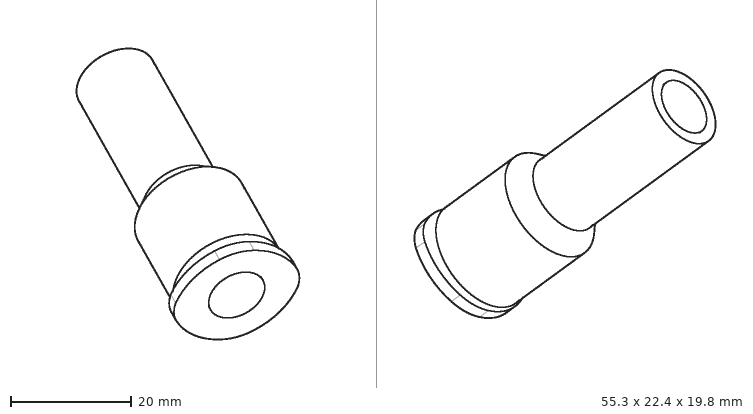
import cadquery as cq
import math

total_length = 55.3
stem_length = 30.15
cone_length = 3.75
flange_thickness = 2.25
collar_gap = 1.65
flange_start = total_length - flange_thickness
body_end = flange_start - collar_gap
cone_end = stem_length + cone_length

stem_radius = 14.05 / 2
body_radius = 19.8 / 2
collar_radius = 13.05 / 2
bore_radius = 10.0 / 2

flange_half_width = 22.45 / 2
crown_radius = 9.75
crown_half_chord = 3.1
ear_radius = 6.2
ear_half_chord = 1.95
flank_radius = 12.6


def make_turned_body():
    """Stem, cone, body and collar, revolved about X."""
    profile = (
        cq.Workplane("XY")
        .lineTo(0, stem_radius)
        .lineTo(stem_length, stem_radius)
        .lineTo(cone_end, body_radius)
        .lineTo(body_end, body_radius)
        .lineTo(body_end, collar_radius)
        .lineTo(flange_start, collar_radius)
        .lineTo(flange_start, 0)
        .close()
    )
    return profile.revolve(360, (0, 0, 0), (1, 0, 0))


def flank_midpoint(ear_end, crown_end):
    """Middle of the outward-bulging flank arc."""
    run = crown_end[0] - ear_end[0]
    rise = crown_end[1] - ear_end[1]
    chord = math.hypot(run, rise)
    bulge = flank_radius - math.sqrt(flank_radius**2 - (chord / 2) ** 2)
    middle_y = (ear_end[0] + crown_end[0]) / 2 + bulge * rise / chord
    middle_z = (ear_end[1] + crown_end[1]) / 2 - bulge * run / chord
    return (middle_y, middle_z)


def make_flange():
    """Lens-shaped plate, symmetric about Y and Z."""
    crown_y = crown_half_chord
    crown_z = math.sqrt(crown_radius**2 - crown_half_chord**2)
    ear_z = ear_half_chord
    ear_drop = ear_radius - math.sqrt(ear_radius**2 - ear_half_chord**2)
    ear_y = flange_half_width - ear_drop
    flank_y, flank_z = flank_midpoint((ear_y, ear_z), (crown_y, crown_z))
    outline = (
        cq.Workplane("YZ", origin=(flange_start, 0, 0))
        .moveTo(ear_y, -ear_z)
        .threePointArc((flange_half_width, 0), (ear_y, ear_z))
        .threePointArc((flank_y, flank_z), (crown_y, crown_z))
        .threePointArc((0, crown_radius), (-crown_y, crown_z))
        .threePointArc((-flank_y, flank_z), (-ear_y, ear_z))
        .threePointArc((-flange_half_width, 0), (-ear_y, -ear_z))
        .threePointArc((-flank_y, -flank_z), (-crown_y, -crown_z))
        .threePointArc((0, -crown_radius), (crown_y, -crown_z))
        .threePointArc((flank_y, -flank_z), (ear_y, -ear_z))
        .close()
    )
    return outline.extrude(flange_thickness)


bore = cq.Workplane("YZ").circle(bore_radius).extrude(total_length)
result = make_turned_body().union(make_flange()).cut(bore)